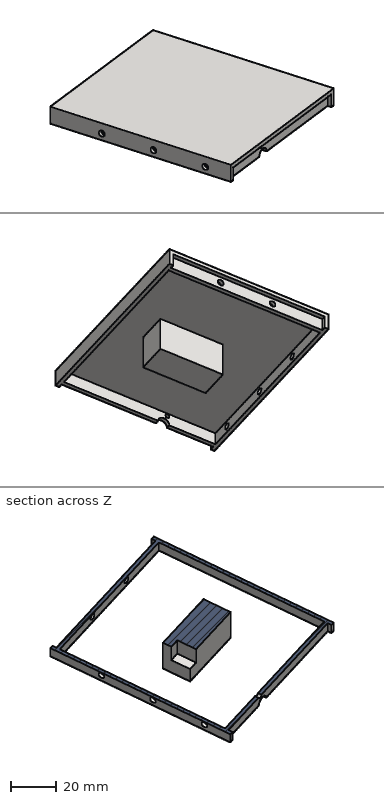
import cadquery as cq

length = 96.0
width = 83.0
cover_height = 8.7
roof = 2.2
wall = 2.0
end_inset = 2.0

hole_diameter = 3.0
hole_height = 3.5
front_hole_spacing = 27.5
front_hole_middle_x = 6.8
end_hole_spacing = 27.1

block_left = -8.3
block_right = 6.3
block_front = -11.0
block_back = 21.6
block_drop = 11.2

notch_left = -3.6
notch_drop = 3.3
notch_depth = 4.8

cable_notch_y = -12.6
cable_notch_radius = 2.9
small_hole_diameter = 2.0
small_hole_y = -14.5
small_hole_height = 5.1


def box_between(low, high):
    """Axis-aligned box between two opposite corners."""
    size = [b - a for a, b in zip(low, high)]
    return cq.Workplane("XY").box(*size, centered=False).translate(low)


def make_cover():
    half_width = width / 2
    roof_underside = cover_height - roof
    inner_half_width = half_width - wall
    wall_outside = length / 2 - end_inset
    wall_inside = wall_outside - wall
    cover = box_between((-length / 2, -half_width, 0), (length / 2, half_width, cover_height))
    for left, right in (
        (-length / 2, -wall_outside),
        (-wall_inside, wall_inside),
        (wall_outside, length / 2),
    ):
        cover = cover.cut(
            box_between((left, -inner_half_width, 0), (right, inner_half_width, roof_underside))
        )
    return cover


def cylinder_along(axis, start, radius, reach):
    """Cylinder of the given reach, starting at a point and following an axis direction."""
    return cq.Workplane(cq.Solid.makeCylinder(radius, reach, cq.Vector(*start), cq.Vector(*axis)))


def drill_cover(cover):
    along_x = (1, 0, 0)
    along_y = (0, 1, 0)
    left_wall = -length / 2 + end_inset
    right_wall = length / 2 - end_inset - wall
    radius = hole_diameter / 2
    for step in (-1, 0, 1):
        start = (front_hole_middle_x + step * front_hole_spacing, -width / 2, hole_height)
        cover = cover.cut(cylinder_along(along_y, start, radius, wall))
    for side in (-1, 1):
        start = (left_wall, side * end_hole_spacing / 2, hole_height)
        cover = cover.cut(cylinder_along(along_x, start, radius, wall))
    for y, z, opening_radius in (
        (cable_notch_y, 0, cable_notch_radius),
        (small_hole_y, small_hole_height, small_hole_diameter / 2),
    ):
        cover = cover.cut(cylinder_along(along_x, (right_wall, y, z), opening_radius, wall))
    return cover


def make_motor():
    roof_underside = cover_height - roof
    notch_back = block_front + notch_depth
    block = box_between(
        (block_left, block_front, -block_drop), (block_right, block_back, roof_underside)
    )
    notch = box_between(
        (notch_left, block_front, -notch_drop), (block_right, notch_back, roof_underside)
    )
    return block.cut(notch)


result = drill_cover(make_cover()).union(make_motor())